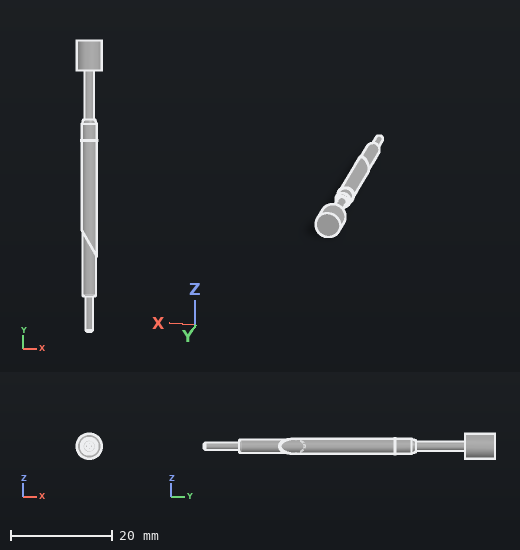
import cadquery as cq


total_length = 57.74
head_length = 6.0
rod_length = 9.7
rim_length = 0.85
collar_to_sleeve_back = 3.2
collar_length = 0.15
sleeve_short_side = 17.65
sleeve_long_side = 22.85
barrel_depth = 30.8
tip_length = 0.4

head_diameter = 5.0
rod_diameter = 1.9
sleeve_diameter = 3.0
collar_diameter = 3.3
rim_base_diameter = 2.8
rim_end_diameter = 2.3
barrel_diameter = 2.7
pin_diameter = 1.5
tip_diameter = 0.55

barrel_edge_radius = 0.4

sleeve_back = collar_length + collar_to_sleeve_back
rim_back = sleeve_back + rim_length
head_front = rim_back + rod_length
head_back = head_front + head_length
barrel_front = -barrel_depth
pin_front = head_back - total_length
pin_shoulder = pin_front + tip_length


def cylinder(diameter, y_start, y_end):
    """Round bar on the Y axis between two stations."""
    bar = cq.Workplane("XZ", origin=(0, y_end, 0)).circle(diameter / 2)
    return bar.extrude(y_end - y_start)


def make_plunger():
    """Cylindrical contact head on a thin rod."""
    head = cylinder(head_diameter, head_front, head_back)
    rod = cylinder(rod_diameter, rim_back, head_front)
    return head.union(rod)


def make_sleeve():
    """Outer sleeve around the barrel, cut off obliquely at the front."""
    radius = sleeve_diameter / 2
    side_outline = [
        (-radius, -sleeve_short_side),
        (radius, -sleeve_long_side),
        (radius, sleeve_back),
        (-radius, sleeve_back),
    ]
    slab = cq.Workplane("XY").polyline(side_outline).close().extrude(radius, both=True)
    return cylinder(sleeve_diameter, -sleeve_long_side, sleeve_back).intersect(slab)


def make_rim():
    """Crimped rim closing the back of the sleeve, curving inward toward the rod."""
    base_radius = rim_base_diameter / 2
    end_radius = rim_end_diameter / 2
    inset = base_radius - end_radius
    curve_radius = (inset**2 + rim_length**2) / (2 * inset)
    half_profile = (
        cq.Workplane("XY")
        .moveTo(0, sleeve_back)
        .lineTo(base_radius, sleeve_back)
        .radiusArc((end_radius, rim_back), -curve_radius)
        .lineTo(0, rim_back)
        .close()
    )
    return half_profile.revolve(360, (0, 0), (0, 1))


def make_collar():
    """Thin stop collar around the sleeve."""
    return cylinder(collar_diameter, 0, collar_length)


def make_barrel():
    """Barrel that runs inside the sleeve and emerges at the front, where its edge is rounded."""
    body = cylinder(barrel_diameter, barrel_front, sleeve_back)
    return body.faces("<Y").edges().fillet(barrel_edge_radius)


def make_pin():
    """Connection pin with a conical, blunt tip."""
    half_profile = [
        (0, pin_front),
        (tip_diameter / 2, pin_front),
        (pin_diameter / 2, pin_shoulder),
        (pin_diameter / 2, barrel_front),
        (0, barrel_front),
    ]
    return cq.Workplane("XY").polyline(half_profile).close().revolve(360, (0, 0), (0, 1))


result = make_barrel()
for component in (make_sleeve(), make_rim(), make_collar(), make_plunger(), make_pin()):
    result = result.union(component)